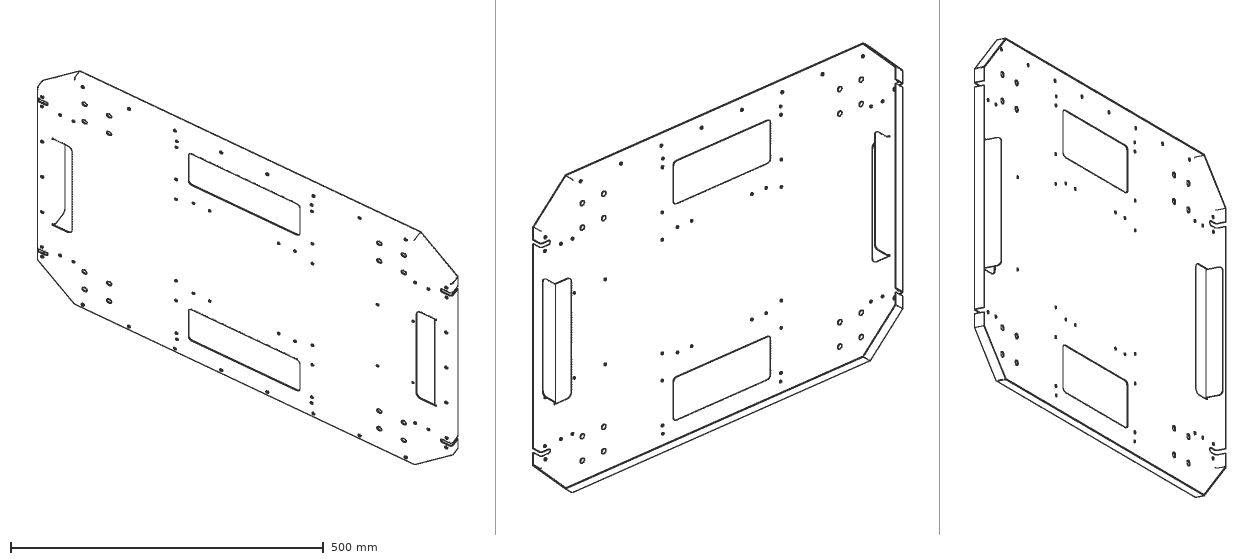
import cadquery as cq

length = 776.0
height = 580.0
sheet = 2.0
bend_outer = 5.0
bend_inner = bend_outer - sheet
rim_depth = 19.5
corner_cut = 70.0

window_length = 208.0
window_height = 80.0
window_offset = 199.5
window_radius = 7.0
hand_slot_outer = 358.5
hand_slot_inner = 321.0
hand_slot_height = 222.0
hand_slot_radius = 10.0

tab_reach = 32.5
tab_height = 217.0
tab_radius = 8.0

rim_slot_offset = 192.5
rim_slot_width = 8.0
rim_slot_end = 366.0

rim_hole_inset = 11.0
rim_hole_diameter = 5.5
top_hole_count = 8
top_hole_pitch = 86.0
side_hole_heights = [0, 90.0, 205.0]
bolt_hole_diameter = 9.0
bolt_hole_columns = [252.0, 298.0]
bolt_hole_rows = [192.5, 237.5]
small_hole_diameter = 5.0
small_hole_places = [(126.0, 254.0), (127.0, 155.0), (127.0, 105.0), (95.0, 116.0), (64.5, 116.0)]
small_right_holes = [(249.0, 78.0)]
pin_hole_diameter = 4.0
pin_right_holes = [(315.0, 78.0)]
fixing_hole_diameter = 5.05
fixing_hole_places = [(126.5, 238.0), (378.0, 180.0), (344.0, 180.0), (319.0, 180.0)]


def on_front(y=0.0):
    """Workplane parallel to XZ at depth y; negative extrusions run toward +Y."""
    return cq.Workplane("XZ", origin=(0, y, 0))


def rounded_block(inset, front, back, radius):
    """Octagonal block with its front edges rounded."""
    x = length / 2 - inset
    z = height / 2 - inset
    cut = corner_cut - inset * (2 - 2 ** 0.5)
    right = [(x, cut - z), (x, z - cut), (x - cut, z)]
    left = [(cut - x, z), (-x, z - cut), (-x, cut - z)]
    outline = right + left + [(cut - x, -z), (x - cut, -z)]
    block = on_front(front).polyline(outline).close().extrude(front - back)
    return block.faces("<Y").edges().fillet(radius)


def through_holes(places, diameter):
    """Round cutters long enough to pass through the sheet."""
    return on_front().pushPoints(places).circle(diameter / 2).extrude(-rim_depth)


def mirrored(places):
    """Each place repeated in all four quadrants, without doubles."""
    return sorted({(sx * x, sz * z) for x, z in places for sx in (1, -1) for sz in (1, -1)})


def mirrored_z(places):
    """Each place repeated above and below the middle."""
    return [(x, sign * z) for x, z in places for sign in (1, -1)]


tray = rounded_block(0, 0, rim_depth, bend_outer)
tray = tray.cut(rounded_block(sheet, sheet, rim_depth, bend_inner))

windows = on_front().pushPoints([(0, window_offset), (0, -window_offset)])
windows = windows.rect(window_length, window_height).extrude(-sheet)
tray = tray.cut(windows.edges("|Y").fillet(window_radius))


def hand_slot(side):
    """Cutter for a hand slot, rounded only on the edge facing the middle."""
    width = hand_slot_outer - hand_slot_inner
    middle = side * (hand_slot_outer + hand_slot_inner) / 2
    slot = on_front().center(middle, 0).rect(width, hand_slot_height).extrude(-sheet)
    inner_edges = "|Y and <X" if side > 0 else "|Y and >X"
    return slot.edges(inner_edges).fillet(hand_slot_radius)


def tab(side):
    """Bent tab: a quarter bend from the slot's outer edge, then a flat leaf."""
    bend_end = hand_slot_outer - bend_outer
    profile = (
        cq.Workplane("XY", origin=(0, 0, -tab_height / 2))
        .moveTo(side * hand_slot_outer, 0)
        .radiusArc((side * bend_end, bend_outer), side * bend_outer)
        .lineTo(side * bend_end, tab_reach)
        .lineTo(side * (bend_end + sheet), tab_reach)
        .lineTo(side * (bend_end + sheet), bend_outer)
        .radiusArc((side * hand_slot_outer, sheet), -side * bend_inner)
        .close()
    )
    leaf = profile.extrude(tab_height)
    return leaf.faces(">Y").edges("|X").fillet(tab_radius)


for side in (1, -1):
    tray = tray.cut(hand_slot(side)).union(tab(side))

for x, z in mirrored([(length / 2, rim_slot_offset)]):
    reach = length / 2 - rim_slot_end
    slot = on_front().center(x, z).slot2D(2 * reach, rim_slot_width).extrude(-rim_depth)
    tray = tray.cut(slot)

first = -(top_hole_count - 1) / 2
top_holes = [((first + i) * top_hole_pitch, height / 2 - rim_hole_inset) for i in range(top_hole_count)]
side_holes = [(length / 2 - rim_hole_inset, z) for z in side_hole_heights]
bolts = [(x, z) for x in bolt_hole_columns for z in bolt_hole_rows]
for places, diameter in [
    (mirrored(top_holes + side_holes), rim_hole_diameter),
    (mirrored(bolts), bolt_hole_diameter),
    (mirrored(small_hole_places) + mirrored_z(small_right_holes), small_hole_diameter),
    (mirrored(fixing_hole_places), fixing_hole_diameter),
    (mirrored_z(pin_right_holes), pin_hole_diameter),
]:
    tray = tray.cut(through_holes(places, diameter))

result = tray